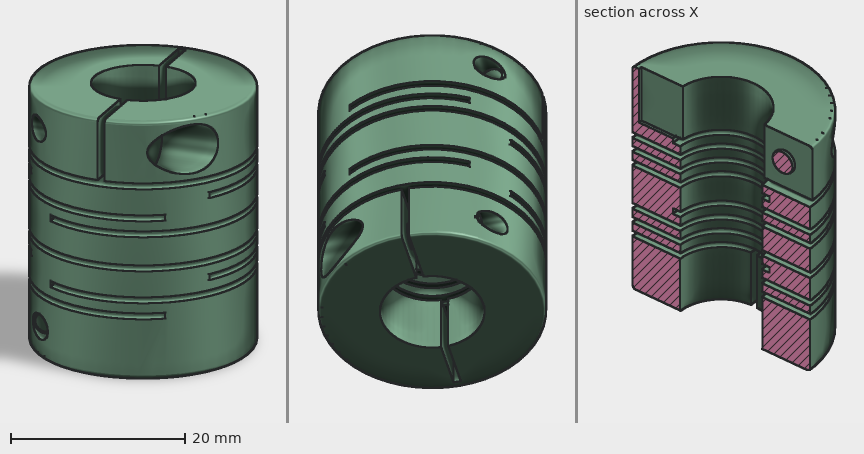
import cadquery as cq

length = 31.5
outer_diameter = 26.2
bore_diameter = 12.0
end_fillet = 0.5

upper_hub_length = 7.5
lower_hub_length = 7.4
slot_width = 0.72
slot_pitch = 1.95
slot_end = 7.1
upper_slot_sides = ["-Y", "+Y", "-X", "+X"]
lower_slot_sides = ["-Y", "+Y", "+X", "-X"]
side_angles = {"+X": 0, "+Y": 90, "-X": 180, "-Y": 270}

slit_width = 0.85
slit_depth = 7.55
slit_end = 12.05
screw_from_end = 3.75
screw_offset = 9.0
screw_diameter = 3.0
screw_chamfer = 0.3
screw_tip = 7.9
counterbore_diameter = 6.0
counterbore_floor = 4.72

outer_radius = outer_diameter / 2
upper_slots_top = length - upper_hub_length
lower_slots_top = lower_hub_length + slot_width + slot_pitch * (len(lower_slot_sides) - 1)
screw_height = length - screw_from_end


def make_body():
    body = cq.Workplane("XY").circle(outer_radius).extrude(length)
    body = body.faces("<Z or >Z").edges().fillet(end_fillet)
    return body.cut(cq.Workplane("XY").circle(bore_diameter / 2).extrude(length))


def make_slot(side, top):
    """Flat slot below height top, open to one side and stopping past the axis."""
    slot = cq.Workplane("XY").box(
        outer_radius + slot_end, outer_diameter, slot_width, centered=(False, True, False)
    )
    slot = slot.translate((-slot_end, 0, top - slot_width))
    return slot.rotate((0, 0, 0), (0, 0, 1), side_angles[side])


def cut_slots(body, sides, group_top):
    """Cut one group of evenly pitched slots, working down from group_top."""
    for index, side in enumerate(sides):
        body = body.cut(make_slot(side, group_top - index * slot_pitch))
    return body


def screw_line(diameter, start_x, end_x):
    """Cylinder on the upper screw axis, which runs along X."""
    plane = cq.Plane(origin=(start_x, -screw_offset, screw_height), xDir=(0, 0, 1), normal=(1, 0, 0))
    return cq.Workplane(plane).circle(diameter / 2).extrude(end_x - start_x)


def make_clamp_cut():
    """Slit open to -Y, screw hole, and counterbore of the upper hub."""
    slit = cq.Workplane("XY").box(
        slit_width, outer_radius + slit_end, slit_depth, centered=(True, False, False)
    )
    slit = slit.translate((0, -outer_radius, length - slit_depth))
    hole = screw_line(screw_diameter, -outer_radius, counterbore_floor)
    counterbore = screw_line(counterbore_diameter, counterbore_floor, outer_radius)
    return slit.union(hole).union(counterbore)


def make_screw():
    """Screw shank filling the upper hole from the counterbore floor to its chamfered tip."""
    shank = screw_line(screw_diameter, -screw_tip, counterbore_floor)
    return shank.faces("<X").chamfer(screw_chamfer)


def to_lower_hub(shape):
    """Half turn about the horizontal diagonal, swapping X with Y and top with bottom."""
    middle = length / 2
    return shape.rotate((0, 0, middle), (0.3, 0.3, middle), 180)


body = make_body()
body = cut_slots(body, upper_slot_sides, upper_slots_top)
body = cut_slots(body, lower_slot_sides, lower_slots_top)

clamp_cut = make_clamp_cut()
screw = make_screw()
body = body.cut(clamp_cut).cut(to_lower_hub(clamp_cut))
result = body.union(screw).union(to_lower_hub(screw))